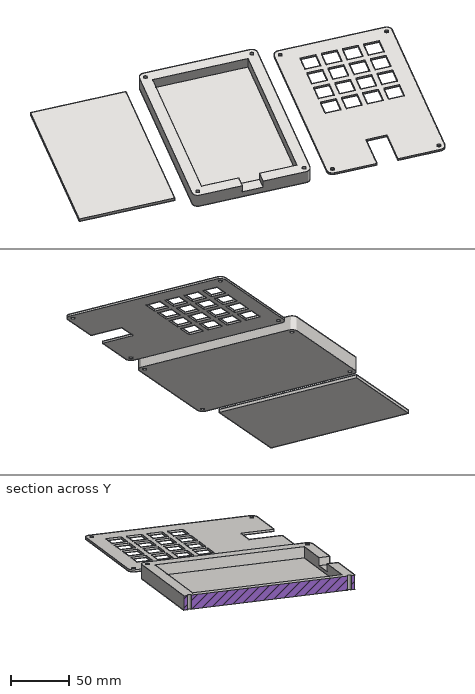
import cadquery as cq

BODY_LENGTH = 158.3
BODY_WIDTH = 106.2
SCREW_INSET = 5.2
SCREW_DIAMETER = 3.3
NOTCH_WIDTH = 18.7

CASE_HEIGHT = 13.0
CASE_CORNER_RADIUS = 5.2
CASE_WALL = 10.0
CASE_FLOOR = 3.0
NOTCH_SILL = 6.0

PLATE_THICKNESS = 2.0
PLATE_CORNER_RADIUS = 5.2
PLATE_NOTCH_DEPTH = 30.8
KEY_COUNT = 4
KEY_SIZE = 14.0
KEY_PITCH = 19.0
KEY_LEFT_MARGIN = 14.5
KEY_BACK_MARGIN = 14.7

PANEL_THICKNESS = 3.0
PANEL_LENGTH = BODY_LENGTH - 2 * CASE_WALL
PANEL_WIDTH = BODY_WIDTH - 2 * CASE_WALL

TOTAL_LENGTH = 160.5
TOTAL_WIDTH = 327.7
PANEL_GAP = 13.8
PLATE_GAP = TOTAL_WIDTH - 2 * BODY_WIDTH - PANEL_WIDTH - PANEL_GAP
PLATE_X = BODY_LENGTH - TOTAL_LENGTH
PLATE_Y = BODY_WIDTH + PLATE_GAP
PANEL_Y = -(BODY_WIDTH + PANEL_WIDTH) / 2 - PANEL_GAP


def box_on(length, width, height, base_z=0.0):
    """Box centred on the Z axis, standing on the height base_z."""
    return cq.Workplane("XY", origin=(0, 0, base_z)).box(length, width, height, centered=(True, True, False))


def drilled_slab(height, corner_radius):
    """Rounded slab with a screw hole through each corner."""
    slab = box_on(BODY_LENGTH, BODY_WIDTH, height).edges("|Z").fillet(corner_radius)
    screw_holes = (
        cq.Workplane("XY")
        .rect(BODY_LENGTH - 2 * SCREW_INSET, BODY_WIDTH - 2 * SCREW_INSET, forConstruction=True)
        .vertices()
        .circle(SCREW_DIAMETER / 2)
        .extrude(height)
    )
    return slab.cut(screw_holes)


def make_case():
    """Tray with a cavity and a cable notch through the middle of its +X wall."""
    cavity = box_on(PANEL_LENGTH, PANEL_WIDTH, CASE_HEIGHT - CASE_FLOOR, CASE_FLOOR)
    notch = box_on(CASE_WALL, NOTCH_WIDTH, CASE_HEIGHT - NOTCH_SILL, NOTCH_SILL)
    notch = notch.translate(((BODY_LENGTH - CASE_WALL) / 2, 0, 0))
    return drilled_slab(CASE_HEIGHT, CASE_CORNER_RADIUS).cut(cavity).cut(notch)


def make_switch_plate():
    """Thin plate with a square grid of key openings and a notch in its +X edge."""
    first_x = -BODY_LENGTH / 2 + KEY_LEFT_MARGIN + KEY_SIZE / 2
    first_y = BODY_WIDTH / 2 - KEY_BACK_MARGIN - KEY_SIZE / 2
    key_centres = [
        (first_x + column * KEY_PITCH, first_y - row * KEY_PITCH)
        for row in range(KEY_COUNT)
        for column in range(KEY_COUNT)
    ]
    key_openings = cq.Workplane("XY").pushPoints(key_centres).rect(KEY_SIZE, KEY_SIZE).extrude(PLATE_THICKNESS)
    notch = box_on(PLATE_NOTCH_DEPTH, NOTCH_WIDTH, PLATE_THICKNESS)
    notch = notch.translate(((BODY_LENGTH - PLATE_NOTCH_DEPTH) / 2, 0, 0))
    plate = drilled_slab(PLATE_THICKNESS, PLATE_CORNER_RADIUS).cut(key_openings).cut(notch)
    return plate.translate((PLATE_X, PLATE_Y, 0))


def make_panel():
    """Plain sheet with its underside level with the cavity floor of the case."""
    panel = box_on(PANEL_LENGTH, PANEL_WIDTH, PANEL_THICKNESS, CASE_FLOOR)
    return panel.translate((0, PANEL_Y, 0))


case = make_case()
switch_plate = make_switch_plate()
panel = make_panel()

result = cq.Compound.makeCompound([case.val(), switch_plate.val(), panel.val()])